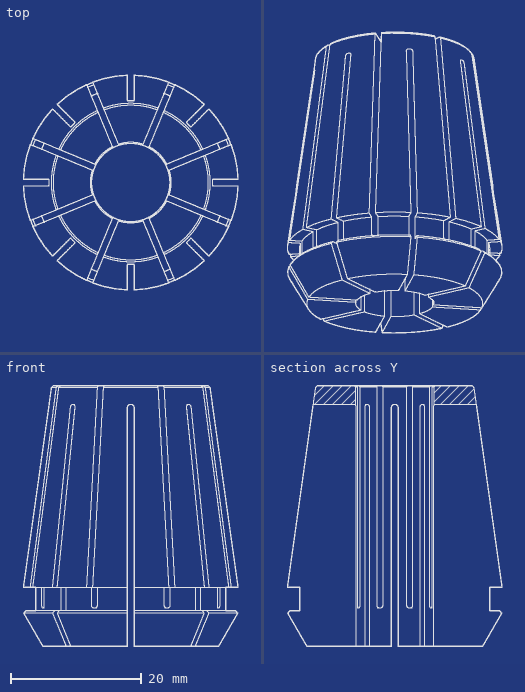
import cadquery as cq
import math


LENGTH = 40.0
GROOVE_BOTTOM = 5.5
GROOVE_TOP = 9.05

BODY_RADIUS = 16.5
NOSE_RADIUS = 16.45
GROOVE_RADIUS = 14.6
BORE_DIAMETER = 12.0
TAPER_ANGLE = 8.0
NOSE_ANGLE = 30.0

RIM_BREAK = 0.3
BORE_BREAK = 0.2
NOSE_BREAK = 0.4

SLOTS_PER_END = 8
SLOT_WIDTH = 1.0
SLOT_CORNER_RADIUS = 0.4
NOSE_SLOT_END = 37.1
TOP_SLOT_END = 5.9
SLOT_OVERRUN = 2.0

bore_radius = BORE_DIAMETER / 2
slot_step = 360.0 / SLOTS_PER_END
nose_edge_height = GROOVE_BOTTOM - NOSE_BREAK
nose_face_radius = NOSE_RADIUS - nose_edge_height * math.tan(math.radians(NOSE_ANGLE))
taper_height = LENGTH - GROOVE_TOP - RIM_BREAK
taper_top_radius = BODY_RADIUS - taper_height * math.tan(math.radians(TAPER_ANGLE))


def make_body():
    """Revolve the half section, bore included, around Z."""
    section = (
        cq.Workplane("XZ")
        .moveTo(bore_radius, 0)
        .lineTo(nose_face_radius, 0)
        .lineTo(NOSE_RADIUS, nose_edge_height)
        .lineTo(NOSE_RADIUS - NOSE_BREAK, GROOVE_BOTTOM)
        .lineTo(GROOVE_RADIUS, GROOVE_BOTTOM)
        .lineTo(GROOVE_RADIUS, GROOVE_TOP)
        .lineTo(BODY_RADIUS, GROOVE_TOP)
        .lineTo(taper_top_radius, LENGTH - RIM_BREAK)
        .lineTo(taper_top_radius - RIM_BREAK, LENGTH)
        .lineTo(bore_radius + BORE_BREAK, LENGTH)
        .lineTo(bore_radius, LENGTH - BORE_BREAK)
        .close()
    )
    return section.revolve(360, (0, 0, 0), (0, 1, 0))


def make_slot(closed_end, open_end, angle):
    """Radial slot cutter along +X, turned by angle, with rounded corners at its closed end."""
    reach = BODY_RADIUS + SLOT_OVERRUN
    height = abs(open_end - closed_end)
    cutter = (
        cq.Workplane("XY")
        .box(reach, SLOT_WIDTH, height, centered=(False, True, False))
        .translate((0, 0, min(closed_end, open_end)))
    )
    closed_face = "<Z" if closed_end < open_end else ">Z"
    cutter = cutter.faces(closed_face).edges("|X").fillet(SLOT_CORNER_RADIUS)
    return cutter.rotate((0, 0, 0), (0, 0, 1), angle)


result = make_body()
for index in range(SLOTS_PER_END):
    nose_slot_angle = index * slot_step
    top_slot_angle = nose_slot_angle + slot_step / 2
    result = result.cut(make_slot(NOSE_SLOT_END, -SLOT_OVERRUN, nose_slot_angle))
    result = result.cut(make_slot(TOP_SLOT_END, LENGTH + SLOT_OVERRUN, top_slot_angle))